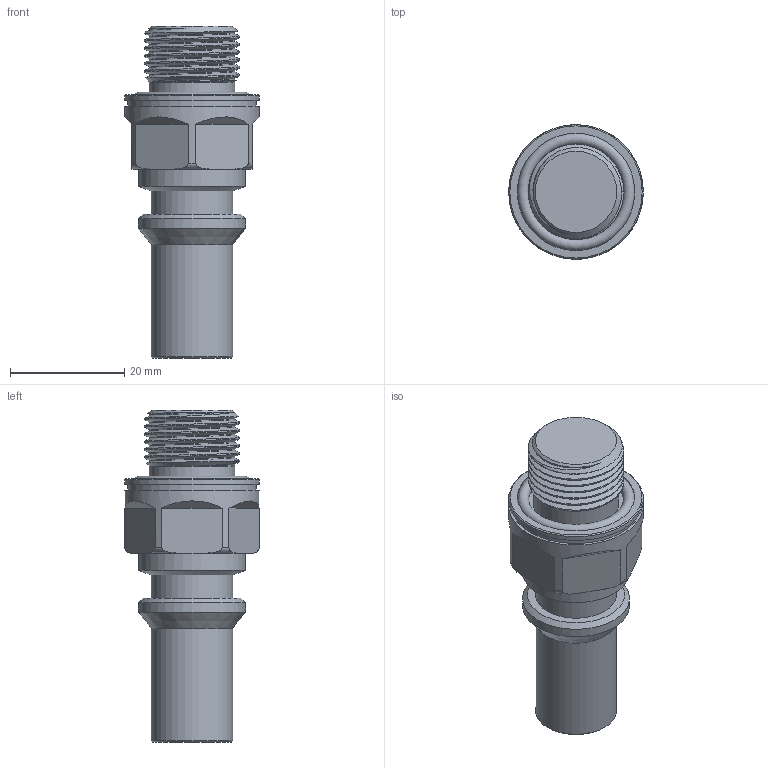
import math

import cadquery as cq

TOTAL_LENGTH = 58.0
BEAD_CONE_Z = 19.75
BEAD_RIM_BOTTOM_Z = 22.7
BEAD_RIM_TOP_Z = 24.3
BEAD_TOP_Z = 25.1
COLLAR_CHAMFER_Z = 30.0
BODY_BOTTOM_Z = 33.0
HEX_TOP_Z = 40.87
RING_SLOT_BOTTOM_Z = 44.0
RING_SLOT_TOP_Z = 45.0
FLANGE_TOP_Z = 46.0
THREAD_BOTTOM_Z = 48.2

ROD_RADIUS = 14.2 / 2
TIP_CHAMFER = 0.25
RIM_RADIUS = 18.7 / 2
BEAD_TOP_RADIUS = 17.0 / 2

COLLAR_RADIUS = RIM_RADIUS
COLLAR_CONE_ANGLE = 20.0

BODY_RADIUS = 23.5 / 2
BODY_BOTTOM_FILLET = 1.0
FLANGE_CHAMFER = 0.2
RING_SLOT_RADIUS = 22.5 / 2
HEX_ACROSS_FLATS = 21.0
HEX_SIDES = 6

ORING_SECTION_RADIUS = 1.0
ORING_CENTRE_RADIUS = 9.27
ORING_PROUD = 0.42
ORING_SEATING = 0.02

NECK_RADIUS = 14.9 / 2
THREAD_RADIUS = 16.66 / 2
THREAD_ROOT_RADIUS = 14.95 / 2
THREAD_PITCH = 1.337
THREAD_FLANK_ANGLE = 55.0 / 2
THREAD_CREST_Z = 56.1
THREAD_TOP_RADIUS = 14.2 / 2
CUTTER_OVERSHOOT = 0.1


def make_revolved_body():
    collar_cone_height = (COLLAR_RADIUS - ROD_RADIUS) * math.tan(math.radians(COLLAR_CONE_ANGLE))
    top_chamfer = THREAD_RADIUS - THREAD_TOP_RADIUS
    bottom_chamfer = THREAD_RADIUS - NECK_RADIUS
    fillet_middle = BODY_BOTTOM_FILLET * (1 - math.sqrt(0.5))
    return (
        cq.Workplane("XZ")
        .moveTo(0, 0)
        .lineTo(ROD_RADIUS - TIP_CHAMFER, 0)
        .lineTo(ROD_RADIUS, TIP_CHAMFER)
        .lineTo(ROD_RADIUS, BEAD_CONE_Z)
        .lineTo(RIM_RADIUS, BEAD_RIM_BOTTOM_Z)
        .lineTo(RIM_RADIUS, BEAD_RIM_TOP_Z)
        .lineTo(BEAD_TOP_RADIUS, BEAD_TOP_Z)
        .lineTo(ROD_RADIUS, BEAD_TOP_Z)
        .lineTo(ROD_RADIUS, COLLAR_CHAMFER_Z - collar_cone_height)
        .lineTo(COLLAR_RADIUS, COLLAR_CHAMFER_Z)
        .lineTo(COLLAR_RADIUS, BODY_BOTTOM_Z)
        .lineTo(BODY_RADIUS - BODY_BOTTOM_FILLET, BODY_BOTTOM_Z)
        .threePointArc(
            (BODY_RADIUS - fillet_middle, BODY_BOTTOM_Z + fillet_middle),
            (BODY_RADIUS, BODY_BOTTOM_Z + BODY_BOTTOM_FILLET),
        )
        .lineTo(BODY_RADIUS, RING_SLOT_BOTTOM_Z)
        .lineTo(RING_SLOT_RADIUS, RING_SLOT_BOTTOM_Z)
        .lineTo(RING_SLOT_RADIUS, RING_SLOT_TOP_Z)
        .lineTo(BODY_RADIUS, RING_SLOT_TOP_Z)
        .lineTo(BODY_RADIUS, FLANGE_TOP_Z - FLANGE_CHAMFER)
        .lineTo(BODY_RADIUS - FLANGE_CHAMFER, FLANGE_TOP_Z)
        .lineTo(NECK_RADIUS, FLANGE_TOP_Z)
        .lineTo(NECK_RADIUS, THREAD_BOTTOM_Z)
        .lineTo(THREAD_RADIUS, THREAD_BOTTOM_Z + bottom_chamfer)
        .lineTo(THREAD_RADIUS, TOTAL_LENGTH - top_chamfer)
        .lineTo(THREAD_TOP_RADIUS, TOTAL_LENGTH)
        .lineTo(0, TOTAL_LENGTH)
        .close()
        .revolve(360, (0, 0, 0), (0, 1, 0))
    )


def make_flat_cutter():
    """Material outside one hexagon flat, under a 45 degree sloping shoulder."""
    flat = HEX_ACROSS_FLATS / 2
    depth = BODY_RADIUS - flat + CUTTER_OVERSHOOT
    return (
        cq.Workplane("XZ")
        .moveTo(flat, BODY_BOTTOM_Z)
        .lineTo(flat, HEX_TOP_Z)
        .lineTo(flat + depth, HEX_TOP_Z + depth)
        .lineTo(flat + depth, BODY_BOTTOM_Z)
        .close()
        .extrude(BODY_RADIUS, both=True)
    )


def cut_hexagon(body):
    cutter = make_flat_cutter()
    for side in range(HEX_SIDES):
        body = body.cut(cutter.rotate((0, 0, 0), (0, 0, 1), side * 360 / HEX_SIDES))
    return body


def add_oring(body):
    """Cut the face groove around the neck and seat the O-ring in it."""
    ring_centre_z = FLANGE_TOP_Z + ORING_PROUD - ORING_SECTION_RADIUS
    groove_floor_z = ring_centre_z - ORING_SECTION_RADIUS + ORING_SEATING
    groove_radius = ORING_CENTRE_RADIUS + ORING_SECTION_RADIUS - ORING_SEATING
    groove = (
        cq.Workplane("XY", origin=(0, 0, groove_floor_z))
        .circle(groove_radius)
        .circle(NECK_RADIUS)
        .extrude(FLANGE_TOP_Z - groove_floor_z)
    )
    ring = (
        cq.Workplane("XZ")
        .center(ORING_CENTRE_RADIUS, ring_centre_z)
        .circle(ORING_SECTION_RADIUS)
        .revolve(360, (-ORING_CENTRE_RADIUS, 0, 0), (-ORING_CENTRE_RADIUS, 1, 0))
    )
    return body.cut(groove).union(ring)


def cut_thread(body):
    """Cut the right-hand helical groove, running out at both ends of the blank."""
    root_width = THREAD_PITCH / 6
    cutter_radius = THREAD_RADIUS + CUTTER_OVERSHOOT
    flank_run = (cutter_radius - THREAD_ROOT_RADIUS) * math.tan(math.radians(THREAD_FLANK_ANGLE))
    outer_width = root_width + 2 * flank_run

    groove_z = THREAD_CREST_Z - THREAD_PITCH / 2
    turns_below = math.ceil((groove_z - THREAD_BOTTOM_Z) / THREAD_PITCH)
    start_z = groove_z - turns_below * THREAD_PITCH
    turns = math.ceil((TOTAL_LENGTH - start_z) / THREAD_PITCH)

    helix = cq.Wire.makeHelix(THREAD_PITCH, THREAD_PITCH, THREAD_ROOT_RADIUS, cq.Vector(0, 0, start_z))
    one_turn = (
        cq.Workplane("XZ")
        .moveTo(THREAD_ROOT_RADIUS, start_z - root_width / 2)
        .lineTo(cutter_radius, start_z - outer_width / 2)
        .lineTo(cutter_radius, start_z + outer_width / 2)
        .lineTo(THREAD_ROOT_RADIUS, start_z + root_width / 2)
        .close()
        .sweep(cq.Workplane(helix), isFrenet=True)
    )
    for turn in range(turns):
        body = body.cut(one_turn.translate((0, 0, turn * THREAD_PITCH)))
    return body


body = make_revolved_body()
body = cut_hexagon(body)
body = add_oring(body)
result = cut_thread(body)